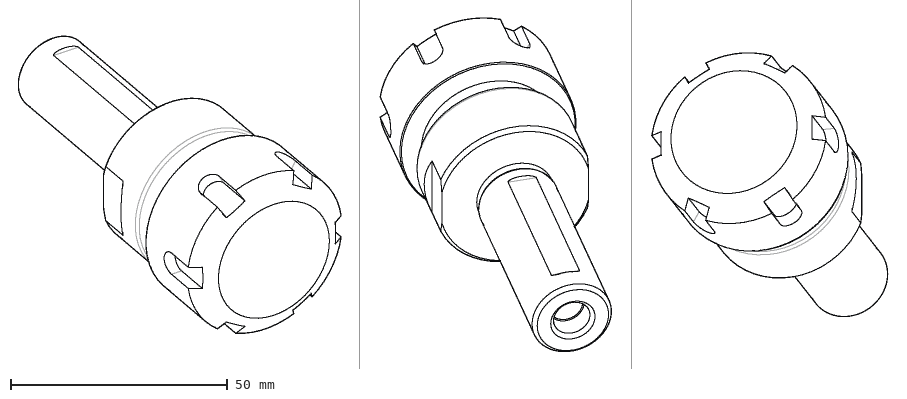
import cadquery as cq
import math

total_length = 96.5
groove_start = 48.5
collar_start = 50.6
neck_start = 70.4
nut_start = 74.2
nut_cone_start = 92.6

shank_radius = 19.0 / 2
groove_radius = 18.4 / 2
collar_radius = 38.1 / 2
neck_radius = 32.0 / 2
nut_radius = 42.2 / 2
nut_face_radius = 15.2

shank_chamfer = 1.0
groove_chamfer_length = 0.6
collar_chamfer = 1.0
collar_fillet = 1.4
nut_chamfer = 0.3

bore_radius = 7.9 / 2
bore_depth = 19.3
bore_chamfer = 1.0
bore_mouth_radius = 8.7 / 2
bore_step_depth = 6.0

shank_flat_start = 6.0
shank_flat_end = 45.1
shank_flat_width = 6.8
shank_flat_height = math.sqrt(shank_radius**2 - (shank_flat_width / 2) ** 2)

wrench_flat_offset = 17.6
wrench_flat_end = 59.1

slot_count = 6
slot_radius = 2.9
slot_tip = 82.4
slot_floor_radius = 18.1


def turned_body():
    """Revolve the stepped profile about the X axis."""
    cone_start = neck_start - (collar_radius - neck_radius)
    half_turn = math.radians(45 / 2)
    tangent_length = collar_fillet * math.tan(half_turn)
    diagonal = tangent_length * math.sqrt(0.5)
    fillet_start = cone_start - tangent_length
    fillet_center_radius = collar_radius - collar_fillet
    fillet_middle = (
        fillet_start + collar_fillet * math.sin(half_turn),
        fillet_center_radius + collar_fillet * math.cos(half_turn),
    )
    return (
        cq.Workplane("XY")
        .moveTo(0, 0)
        .lineTo(0, shank_radius - shank_chamfer)
        .lineTo(shank_chamfer, shank_radius)
        .lineTo(groove_start - groove_chamfer_length, shank_radius)
        .lineTo(groove_start, groove_radius)
        .lineTo(collar_start, groove_radius)
        .lineTo(collar_start, collar_radius - collar_chamfer)
        .lineTo(collar_start + collar_chamfer, collar_radius)
        .lineTo(fillet_start, collar_radius)
        .threePointArc(fillet_middle, (cone_start + diagonal, collar_radius - diagonal))
        .lineTo(neck_start, neck_radius)
        .lineTo(nut_start, neck_radius)
        .lineTo(nut_start, nut_radius - nut_chamfer)
        .lineTo(nut_start + nut_chamfer, nut_radius)
        .lineTo(nut_cone_start, nut_radius)
        .lineTo(total_length, nut_face_radius)
        .lineTo(total_length, 0)
        .close()
        .revolve(360, (0, 0), (1, 0))
    )


def shank_bore():
    """Blind stepped bore with a countersunk mouth."""
    return (
        cq.Workplane("XY")
        .lineTo(0, bore_mouth_radius + bore_chamfer)
        .lineTo(bore_chamfer, bore_mouth_radius)
        .lineTo(bore_step_depth, bore_mouth_radius)
        .lineTo(bore_step_depth, bore_radius)
        .lineTo(bore_depth, bore_radius)
        .lineTo(bore_depth, 0)
        .close()
        .revolve(360, (0, 0), (1, 0))
    )


def shank_flat():
    """Shallow flat whose ends rise in concave quarter arcs."""
    rise = shank_radius - shank_flat_height
    arc_inset = rise * (1 - math.sqrt(0.5))
    return (
        cq.Workplane("XZ")
        .moveTo(shank_flat_start, shank_radius)
        .threePointArc(
            (shank_flat_start + arc_inset, shank_flat_height + arc_inset),
            (shank_flat_start + rise, shank_flat_height),
        )
        .lineTo(shank_flat_end - rise, shank_flat_height)
        .threePointArc(
            (shank_flat_end - arc_inset, shank_flat_height + arc_inset),
            (shank_flat_end, shank_radius),
        )
        .close()
        .extrude(shank_radius, both=True)
    )


def wrench_flat():
    """Flat on the +Y side of the collar, running out at 45 degrees."""
    rise = collar_radius - wrench_flat_offset
    return (
        cq.Workplane("XY")
        .moveTo(collar_start, wrench_flat_offset)
        .lineTo(wrench_flat_end, wrench_flat_offset)
        .lineTo(wrench_flat_end + rise, collar_radius)
        .lineTo(collar_start, collar_radius)
        .close()
        .extrude(collar_radius, both=True)
    )


def nut_slot():
    """Flat-floored slot on the +Y side, round at its closed end and open at the nut face."""
    slot_center = slot_tip + slot_radius
    return (
        cq.Workplane("XZ", origin=(0, slot_floor_radius, 0))
        .moveTo(total_length, slot_radius)
        .lineTo(slot_center, slot_radius)
        .threePointArc((slot_tip, 0), (slot_center, -slot_radius))
        .lineTo(total_length, -slot_radius)
        .close()
        .extrude(-nut_radius)
    )


def turned_about_axis(shape, angle):
    return shape.rotate((0, 0, 0), (1, 0, 0), angle)


result = turned_body().cut(shank_bore()).cut(shank_flat())
for side_angle in (0, 180):
    result = result.cut(turned_about_axis(wrench_flat(), side_angle))
for index in range(slot_count):
    result = result.cut(turned_about_axis(nut_slot(), index * 360 / slot_count))